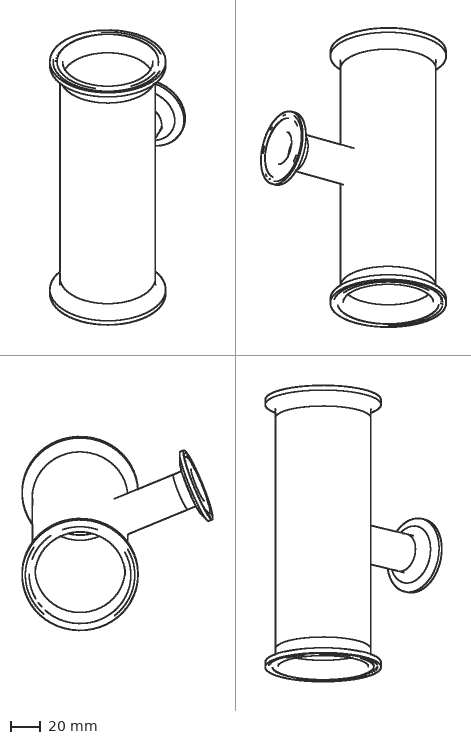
import cadquery as cq

TOTAL_HEIGHT = 184.2
BRANCH_REACH = 85.7
FERRULE_LENGTH = 12.5
HUB_START = 6.6

MAIN_RADIUS = 31.9
MAIN_BORE_RADIUS = 30.0
MAIN_RIM_RADIUS = 38.7
MAIN_RIM_THICKNESS = 3.3
MAIN_CONE_END_RADIUS = 33.2
MAIN_CONE_END_DEPTH = 4.8
MAIN_BLEND_RADIUS = 2.0
MAIN_GROOVE_RADIUS = 35.2

BRANCH_RADIUS = 12.7
BRANCH_BORE_RADIUS = 11.0
BRANCH_RIM_RADIUS = 25.0
BRANCH_RIM_THICKNESS = 2.5
BRANCH_CONE_END_RADIUS = 19.3
BRANCH_CONE_END_DEPTH = 5.0
BRANCH_BACK_DEPTH = 5.2
BRANCH_GROOVE_RADIUS = 21.7

GROOVE_WIDTH = 2.8
GROOVE_DEPTH = 1.1

MOUTH_FILLET = 0.7
GROOVE_EDGE_FILLET = 0.4
JUNCTION_FILLET = 1.0

MAIN_TUBE_HALF = TOTAL_HEIGHT / 2 - FERRULE_LENGTH
BRANCH_TUBE_END = BRANCH_REACH - FERRULE_LENGTH


def branch_cylinder(radius):
    """Cylinder along +Y from the main axis to the end of the branch tube."""
    plane = cq.Plane(origin=(0, 0, 0), xDir=(1, 0, 0), normal=(0, 1, 0))
    return cq.Workplane(plane).circle(radius).extrude(BRANCH_TUBE_END)


def make_tee():
    """Main tube and branch tube with joined bores."""
    base = cq.Workplane("XY").workplane(offset=-MAIN_TUBE_HALF)
    outside = base.circle(MAIN_RADIUS).extrude(2 * MAIN_TUBE_HALF)
    bore = base.circle(MAIN_BORE_RADIUS).extrude(2 * MAIN_TUBE_HALF)
    outside = outside.union(branch_cylinder(BRANCH_RADIUS))
    root_box = cq.selectors.BoxSelector(
        (-BRANCH_BORE_RADIUS, 0, -2 * BRANCH_RADIUS),
        (BRANCH_BORE_RADIUS, MAIN_RADIUS, 2 * BRANCH_RADIUS),
    )
    outside = outside.edges(root_box).fillet(JUNCTION_FILLET)
    return outside.cut(bore).cut(branch_cylinder(BRANCH_BORE_RADIUS))


def start_face(bore_radius, groove_radius, rim_radius):
    """Begin a ferrule section with its sealing face at Z = 0 and depth along -Z."""
    return (
        cq.Workplane("XZ")
        .moveTo(bore_radius, -MOUTH_FILLET)
        .radiusArc((bore_radius + MOUTH_FILLET, 0), MOUTH_FILLET)
        .lineTo(groove_radius - GROOVE_WIDTH / 2, 0)
        .threePointArc((groove_radius, -GROOVE_DEPTH), (groove_radius + GROOVE_WIDTH / 2, 0))
        .lineTo(rim_radius, 0)
    )


def finish_neck(section, neck_radius, bore_radius):
    """Close a ferrule section along its neck and bore, revolve it about Z and round its face."""
    ferrule = (
        section.lineTo(neck_radius, -FERRULE_LENGTH)
        .lineTo(bore_radius, -FERRULE_LENGTH)
        .close()
        .revolve(360, (0, 0, 0), (0, 1, 0))
    )
    face_edges = ferrule.faces("|Z").edges(">Z").vals()
    by_radius = sorted(face_edges, key=lambda edge: edge.radius())
    groove_edges = by_radius[1:3]
    return cq.Workplane(ferrule.val().fillet(GROOVE_EDGE_FILLET, groove_edges))


def make_main_ferrule():
    """Large ferrule whose conical back blends into the neck."""
    section = (
        start_face(MAIN_BORE_RADIUS, MAIN_GROOVE_RADIUS, MAIN_RIM_RADIUS)
        .lineTo(MAIN_RIM_RADIUS, -MAIN_RIM_THICKNESS)
        .lineTo(MAIN_CONE_END_RADIUS, -MAIN_CONE_END_DEPTH)
        .radiusArc((MAIN_RADIUS, -HUB_START), -MAIN_BLEND_RADIUS)
    )
    return finish_neck(section, MAIN_RADIUS, MAIN_BORE_RADIUS)


def make_branch_ferrule():
    """Small ferrule with a conical edge, a nearly flat back and a filleted neck."""
    fillet_radius = HUB_START - BRANCH_BACK_DEPTH
    section = (
        start_face(BRANCH_BORE_RADIUS, BRANCH_GROOVE_RADIUS, BRANCH_RIM_RADIUS)
        .lineTo(BRANCH_RIM_RADIUS, -BRANCH_RIM_THICKNESS)
        .lineTo(BRANCH_CONE_END_RADIUS, -BRANCH_CONE_END_DEPTH)
        .lineTo(BRANCH_RADIUS + fillet_radius, -BRANCH_BACK_DEPTH)
        .radiusArc((BRANCH_RADIUS, -HUB_START), -fillet_radius)
    )
    return finish_neck(section, BRANCH_RADIUS, BRANCH_BORE_RADIUS)


tee = make_tee()

main_ferrules = []
for turn in (0, 180):
    ferrule = make_main_ferrule().translate((0, 0, TOTAL_HEIGHT / 2))
    main_ferrules.append(ferrule.rotate((0, 0, 0), (1, 0, 0), turn).val())

branch_ferrule = (
    make_branch_ferrule()
    .translate((0, 0, BRANCH_REACH))
    .rotate((0, 0, 0), (1, 0, 0), -90)
)

result = cq.Compound.makeCompound([tee.val(), *main_ferrules, branch_ferrule.val()])